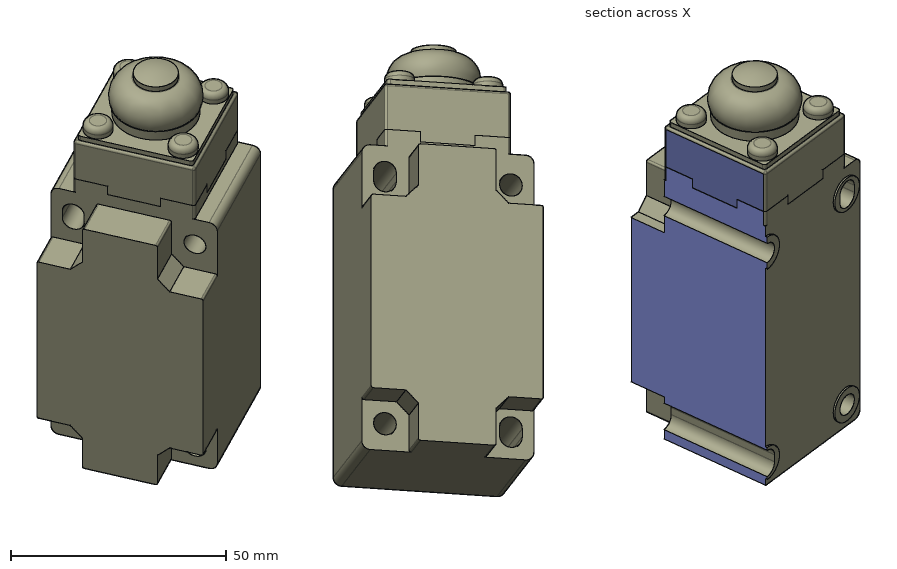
import cadquery as cq
import math

BODY_WIDTH = 41.0
BODY_DEPTH = 30.0
BODY_HEIGHT = 74.0
BODY_CORNER_RADIUS = 2.0
FRONT_Y = -BODY_DEPTH / 2
BACK_Y = BODY_DEPTH / 2

COVER_DEPTH = 9.75
COVER_TOP = BODY_HEIGHT - 2.0
COVER_TONGUE_HALF_WIDTH = 9.25
COVER_BEVEL = 3.0
COVER_UPPER_SHOULDER = 59.0
COVER_LOWER_SHOULDER = 12.0
COVER_EDGE_RADIUS = 0.5

HOLE_DIAMETER = 5.4
SLOT_LENGTH = 7.4
HOLE_SPACING_X = 30.0
HOLE_SPACING_Z = 60.0
HOLE_LOWER_Z = 6.5
PAD_DIAMETER = 9.2
PAD_HEIGHT = 0.5

HEAD_SIZE = 30.0
HEAD_EDGE_RADIUS = 0.6
JOINT_Z = 78.0
HEAD_TOP = 89.2
TAB_WIDTH = 13.0
TAB_DEPTH = 2.5

PLATE_SIZE = 28.4
PLATE_THICKNESS = 1.3
PLATE_TOP = HEAD_TOP + PLATE_THICKNESS
PLATE_CORNER_RADIUS = 0.7
COLLAR_RADIUS = 10.25
COLLAR_HEIGHT = 2.7
COLLAR_TOP = PLATE_TOP + COLLAR_HEIGHT

SCREW_RADIUS = 3.5
SCREW_HEIGHT = 2.7
SCREW_ROUNDING = 1.5
SCREW_SPACING = 21.0

CAP_RADIUS = 11.0
CAP_ROUNDING = 5.5
BUTTON_RADIUS = 5.25
BUTTON_HEIGHT = 1.35
DOME_HEIGHT = 1.0
PLUNGER_TOP = 103.36
BUTTON_RIM_Z = PLUNGER_TOP - DOME_HEIGHT
CAP_TOP = BUTTON_RIM_Z - BUTTON_HEIGHT


def square_block(size, bottom, top, corner_radius):
    """Square block on the Z axis with rounded upright edges."""
    block = cq.Workplane("XY").workplane(offset=bottom).rect(size, size).extrude(top - bottom)
    return block.edges("|Z").fillet(corner_radius)


def joint_tabs():
    """Crossed keys that reach down from the joint and show as one tab on each side."""
    joint_plane = cq.Workplane("XY").workplane(offset=JOINT_Z)
    front_to_back = joint_plane.rect(TAB_WIDTH, HEAD_SIZE).extrude(-TAB_DEPTH)
    side_to_side = joint_plane.rect(HEAD_SIZE, TAB_WIDTH).extrude(-TAB_DEPTH)
    return front_to_back.union(side_to_side)


def front_cover():
    """Raised cover, stepped in around the four mounting holes."""
    side = BODY_WIDTH / 2
    tongue = COVER_TONGUE_HALF_WIDTH
    bevel_end = tongue + COVER_BEVEL
    right_half = [
        (tongue, 0),
        (tongue, COVER_LOWER_SHOULDER - COVER_BEVEL),
        (bevel_end, COVER_LOWER_SHOULDER),
        (side, COVER_LOWER_SHOULDER),
        (side, COVER_UPPER_SHOULDER),
        (bevel_end, COVER_UPPER_SHOULDER),
        (tongue, COVER_UPPER_SHOULDER + COVER_BEVEL),
        (tongue, COVER_TOP),
    ]
    left_half = [(-x, z) for x, z in reversed(right_half)]
    cover = (
        cq.Workplane("XZ", origin=(0, FRONT_Y, 0))
        .polyline(right_half + left_half)
        .close()
        .extrude(COVER_DEPTH)
    )
    middle_y = FRONT_Y - COVER_DEPTH / 2
    for x, z in right_half + left_half:
        is_outer_corner = z in (0, COVER_TOP) or abs(x) == side
        if is_outer_corner:
            corner_edge = cq.selectors.NearestToPointSelector((x, middle_y, z))
            cover = cover.edges(corner_edge).fillet(COVER_EDGE_RADIUS)
    return cover


def make_housing():
    """Box with its neck, tab pockets, front cover and the four mounting holes in their back pads."""
    housing = (
        cq.Workplane("XY")
        .rect(BODY_WIDTH, BODY_DEPTH)
        .extrude(BODY_HEIGHT)
        .edges("|Y")
        .fillet(BODY_CORNER_RADIUS)
    )
    housing = housing.union(square_block(HEAD_SIZE, BODY_HEIGHT, JOINT_Z, HEAD_EDGE_RADIUS))
    housing = housing.cut(joint_tabs())
    housing = housing.union(front_cover())

    for column in (-1, 1):
        for row in (0, 1):
            x = column * HOLE_SPACING_X / 2
            z = HOLE_LOWER_Z + row * HOLE_SPACING_Z
            is_slot = (column == -1) == (row == 1)
            back_face = cq.Workplane("XZ", origin=(x, BACK_Y, z))
            housing = housing.union(back_face.circle(PAD_DIAMETER / 2).extrude(-PAD_HEIGHT))
            through_start = cq.Workplane("XZ", origin=(x, BACK_Y + PAD_HEIGHT, z))
            if is_slot:
                outline = through_start.slot2D(SLOT_LENGTH, HOLE_DIAMETER, 90)
            else:
                outline = through_start.circle(HOLE_DIAMETER / 2)
            housing = housing.cut(outline.extrude(BODY_DEPTH + PAD_HEIGHT))
    return housing


def make_head():
    """Block with its keying tabs, top plate, four screw heads and the collar under the cap."""
    head = square_block(HEAD_SIZE, JOINT_Z, HEAD_TOP, HEAD_EDGE_RADIUS)
    head = head.faces(">Z").edges().fillet(HEAD_EDGE_RADIUS)
    head = head.union(joint_tabs())
    head = head.union(square_block(PLATE_SIZE, HEAD_TOP, PLATE_TOP, PLATE_CORNER_RADIUS))
    plate_face = cq.Workplane("XY").workplane(offset=PLATE_TOP)
    head = head.union(plate_face.circle(COLLAR_RADIUS).extrude(COLLAR_HEIGHT))
    screws = (
        plate_face.rect(SCREW_SPACING, SCREW_SPACING, forConstruction=True)
        .vertices()
        .circle(SCREW_RADIUS)
        .extrude(SCREW_HEIGHT)
        .faces(">Z")
        .edges()
        .fillet(SCREW_ROUNDING)
    )
    return head.union(screws)


def make_plunger():
    """Revolved half profile: flat underside, round cap side, stepped button, dome."""
    cap_center_r = CAP_RADIUS - CAP_ROUNDING
    cap_center_z = CAP_TOP - CAP_ROUNDING
    drop = cap_center_z - COLLAR_TOP
    underside_r = cap_center_r + math.sqrt(CAP_ROUNDING**2 - drop**2)
    dome_radius = (BUTTON_RADIUS**2 + DOME_HEIGHT**2) / (2 * DOME_HEIGHT)
    dome_mid_r = BUTTON_RADIUS / 2
    dome_mid_z = PLUNGER_TOP - dome_radius + math.sqrt(dome_radius**2 - dome_mid_r**2)
    return (
        cq.Workplane("XZ")
        .moveTo(0, COLLAR_TOP)
        .lineTo(underside_r, COLLAR_TOP)
        .threePointArc((CAP_RADIUS, cap_center_z), (cap_center_r, CAP_TOP))
        .lineTo(BUTTON_RADIUS, CAP_TOP)
        .lineTo(BUTTON_RADIUS, BUTTON_RIM_Z)
        .threePointArc((dome_mid_r, dome_mid_z), (0, PLUNGER_TOP))
        .close()
        .revolve(360)
    )


housing = make_housing()
head = make_head()
plunger = make_plunger()

result = cq.Compound.makeCompound([housing.val(), head.val(), plunger.val()])